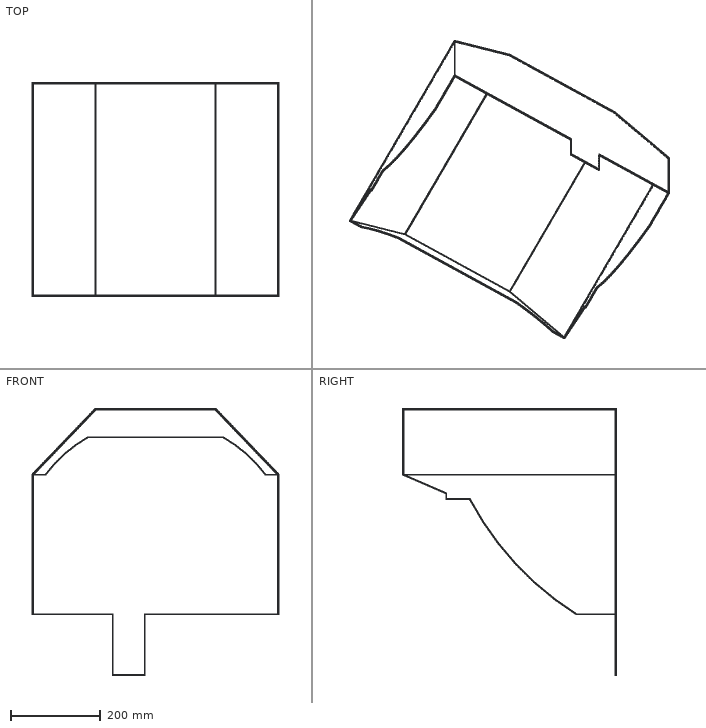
import cadquery as cq
import math

width = 552.0
depth = 478.0
sheet = 2.0

ridge_width = 270.0
eave_drop = 147.0
body_height = 460.0

tongue_width = 72.0
tongue_length = 136.0
tongue_offset = -60.0

opening_top_drop = 63.5
opening_top_width = 303.0
opening_bottom_width = 492.0
opening_radius = 305.0

foot_reach = 89.0
step_inner_reach = 328.0
step_outer_reach = 381.0
step_drop = 202.0
step_height = 13.0
wall_curve_radius = 680.0

half_width = width / 2
back_y = depth / 2
front_y = -depth / 2


def arc_middle(start, end, radius):
    """Middle point of the arc from start to end that bulges to the right of its travel."""
    along_u = end[0] - start[0]
    along_v = end[1] - start[1]
    chord = math.hypot(along_u, along_v)
    rise = radius - math.sqrt(radius**2 - (chord / 2) ** 2)
    middle_u = (start[0] + end[0]) / 2 + rise * along_v / chord
    middle_v = (start[1] + end[1]) / 2 - rise * along_u / chord
    return (middle_u, middle_v)


def hood_section(inset, bottom):
    """House-shaped XZ outline of the hood, offset inward by inset, down to Z = bottom."""
    ridge_half = ridge_width / 2
    slope = math.atan2(eave_drop, half_width - ridge_half)
    ridge_x = ridge_half - inset * math.tan(slope / 2)
    wall_x = half_width - inset
    eave_z = -eave_drop - inset * math.tan((math.pi / 2 - slope) / 2)
    return [
        (-wall_x, bottom),
        (-wall_x, eave_z),
        (-ridge_x, -inset),
        (ridge_x, -inset),
        (wall_x, eave_z),
        (wall_x, bottom),
    ]


def extrude_along_y(outline, start_y, length):
    """Extrude an XZ outline toward +Y from start_y."""
    plane = cq.Workplane("XZ", origin=(0, start_y, 0))
    return plane.polyline(outline).close().extrude(-length)


def make_shell():
    """Roof, side walls and back plate of one sheet thickness, open below and in front."""
    outer = extrude_along_y(hood_section(0, -body_height), front_y, depth)
    cavity = extrude_along_y(hood_section(sheet, -body_height), front_y, depth - sheet)
    return outer.cut(cavity)


def make_wall_trim():
    """Body that keeps only the side profile of the hood, across its full width."""
    foot = (back_y - foot_reach, -body_height)
    step_inner = (back_y - step_inner_reach, -step_drop)
    step_outer_y = back_y - step_outer_reach
    curve_middle = arc_middle(step_inner, foot, wall_curve_radius)
    profile = (
        cq.Workplane("YZ", origin=(-half_width, 0, 0))
        .moveTo(back_y, 0)
        .lineTo(front_y, 0)
        .lineTo(front_y, -eave_drop)
        .lineTo(step_outer_y, -step_drop + step_height)
        .lineTo(step_outer_y, -step_drop)
        .lineTo(*step_inner)
        .threePointArc(curve_middle, foot)
        .lineTo(back_y, -body_height)
        .close()
    )
    return profile.extrude(width)


def make_front_plate():
    """Front plate under the roof with an arched opening cut up from the eaves."""
    plate = extrude_along_y(hood_section(0, -eave_drop)[1:-1], front_y, sheet)
    top_x = opening_top_width / 2
    bottom_x = opening_bottom_width / 2
    left_bottom = (-bottom_x, -eave_drop)
    left_top = (-top_x, -opening_top_drop)
    right_top = (top_x, -opening_top_drop)
    right_bottom = (bottom_x, -eave_drop)
    right_middle = arc_middle(right_bottom, right_top, opening_radius)
    left_middle = (-right_middle[0], right_middle[1])
    opening = (
        cq.Workplane("XZ", origin=(0, front_y, 0))
        .moveTo(*left_bottom)
        .threePointArc(left_middle, left_top)
        .lineTo(*right_top)
        .threePointArc(right_middle, right_bottom)
        .close()
        .extrude(-sheet)
    )
    return plate.cut(opening)


def make_tongue():
    """Flat strip that continues the back plate downward."""
    corner = (tongue_offset - tongue_width / 2, back_y - sheet, -body_height - tongue_length)
    return cq.Workplane("XY").box(tongue_width, sheet, tongue_length, centered=False).translate(corner)


result = make_shell().intersect(make_wall_trim()).union(make_front_plate()).union(make_tongue())